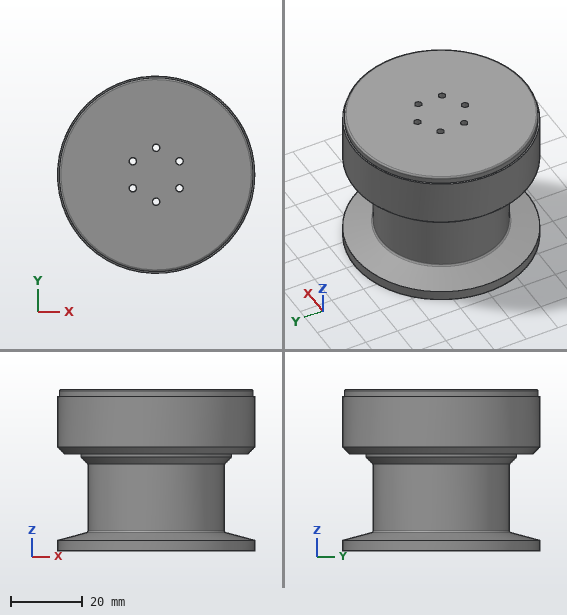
import cadquery as cq
import math

OUTER_DIAMETER = 55.0
TOTAL_HEIGHT = 45.0

NECK_DIAMETER = 38.0
BORE_DIAMETER = 36.1
FLANGE_RIM_HEIGHT = 2.95
FLANGE_TAPER_ANGLE = 15.0
NECK_FILLET = 0.55
COLLAR_DIAMETER = 42.0
COLLAR_RIM_HEIGHT = 0.8

CAP_BOTTOM = 27.0
CAP_CHAMFER = 2.0
LID_DIAMETER = 54.0
LID_HEIGHT = 2.0
LID_EDGE_FILLET = 0.5
VENT_DIAMETER = 2.0
VENT_CIRCLE_DIAMETER = 15.0
VENT_COUNT = 6

outer_radius = OUTER_DIAMETER / 2
neck_radius = NECK_DIAMETER / 2
collar_radius = COLLAR_DIAMETER / 2
taper_height = (outer_radius - neck_radius) * math.tan(math.radians(FLANGE_TAPER_ANGLE))
taper_top = FLANGE_RIM_HEIGHT + taper_height
collar_chamfer = collar_radius - neck_radius
collar_rim_bottom = CAP_BOTTOM - COLLAR_RIM_HEIGHT
cap_height = TOTAL_HEIGHT - CAP_BOTTOM
cap_body_height = cap_height - LID_HEIGHT


def make_flanged_tube():
    """Open tube with a tapered flange below and a 45 degree collar under the cap."""
    profile = (
        cq.Workplane("XZ")
        .polyline([
            (0, 0),
            (outer_radius, 0),
            (outer_radius, FLANGE_RIM_HEIGHT),
            (neck_radius, taper_top),
            (neck_radius, collar_rim_bottom - collar_chamfer),
            (collar_radius, collar_rim_bottom),
            (collar_radius, CAP_BOTTOM),
            (0, CAP_BOTTOM),
        ])
        .close()
    )
    tube = profile.revolve(360, (0, 0, 0), (0, 1, 0))
    neck_root = cq.selectors.BoxSelector(
        (-outer_radius, -outer_radius, taper_top - NECK_FILLET / 2),
        (outer_radius, outer_radius, taper_top + NECK_FILLET / 2),
        boundingbox=True,
    )
    tube = tube.edges(neck_root).fillet(NECK_FILLET)
    bore = cq.Workplane("XY").circle(BORE_DIAMETER / 2).extrude(CAP_BOTTOM)
    return tube.cut(bore)


def make_cap():
    """Chamfered disc with a stepped, rounded lid and a ring of through vents."""
    body = (
        cq.Workplane("XY", origin=(0, 0, CAP_BOTTOM))
        .circle(outer_radius)
        .extrude(cap_body_height)
        .faces("<Z")
        .chamfer(CAP_CHAMFER)
    )
    lid = (
        cq.Workplane("XY", origin=(0, 0, CAP_BOTTOM + cap_body_height))
        .circle(LID_DIAMETER / 2)
        .extrude(LID_HEIGHT)
        .faces(">Z")
        .edges()
        .fillet(LID_EDGE_FILLET)
    )
    vents = (
        cq.Workplane("XY", origin=(0, 0, CAP_BOTTOM))
        .polarArray(VENT_CIRCLE_DIAMETER / 2, 90, 360, VENT_COUNT)
        .circle(VENT_DIAMETER / 2)
        .extrude(cap_height)
    )
    return body.union(lid).cut(vents)


flanged_tube = make_flanged_tube()
cap = make_cap()

result = cq.Compound.makeCompound([flanged_tube.val(), cap.val()])